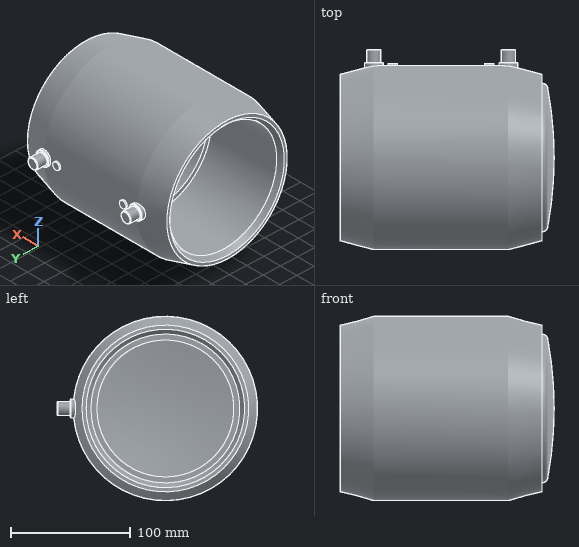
import cadquery as cq

OVERALL_LENGTH = 179.83
SLEEVE_LENGTH = 169.5
SLEEVE_RADIUS = 155.0 / 2
SLEEVE_END_RADIUS = 140.0 / 2
TAPER_LENGTH = SLEEVE_LENGTH / 6
BORE_RADIUS = 125.0 / 2
MOUTH_RADIUS = 133.0 / 2
MOUTH_BEVEL_DEPTH = 5.0

CAP_WALL_RADIUS = 115.0 / 2
CAP_RIM_DEPTH = 84.0
CAP_DOME_RADIUS = 318.0
CAP_SHOULDER_ROUND = 5.0
CAP_THICKNESS = 10.0

TERMINAL_X = SLEEVE_LENGTH / 2 - TAPER_LENGTH
TERMINAL_TO_INDICATOR = 16.0
TERMINAL_RADIUS = 12.0 / 2
TERMINAL_TOP = 91.0
COLLAR_RADIUS = 16.0 / 2
COLLAR_TOP = 80.0
TERMINAL_CHAMFER = 0.7
INDICATOR_X = TERMINAL_X - TERMINAL_TO_INDICATOR
INDICATOR_RADIUS = 8.0 / 2
INDICATOR_TOP = 79.0
STUD_ROOT = (BORE_RADIUS + SLEEVE_RADIUS) / 2

LEFT_END = -SLEEVE_LENGTH / 2
RIGHT_END = SLEEVE_LENGTH / 2


def revolve_about_x(profile):
    """Close a half profile and turn it about the part axis."""
    return profile.close().revolve(360, (0, 0, 0), (1, 0, 0))


def make_sleeve():
    """Barrel with tapered ends and a bevelled mouth at each end of its bore."""
    profile = (
        cq.Workplane("XY")
        .moveTo(LEFT_END, MOUTH_RADIUS)
        .lineTo(LEFT_END, SLEEVE_END_RADIUS)
        .lineTo(LEFT_END + TAPER_LENGTH, SLEEVE_RADIUS)
        .lineTo(RIGHT_END - TAPER_LENGTH, SLEEVE_RADIUS)
        .lineTo(RIGHT_END, SLEEVE_END_RADIUS)
        .lineTo(RIGHT_END, MOUTH_RADIUS)
        .lineTo(RIGHT_END - MOUTH_BEVEL_DEPTH, BORE_RADIUS)
        .lineTo(LEFT_END + MOUTH_BEVEL_DEPTH, BORE_RADIUS)
    )
    return revolve_about_x(profile)


def make_cap():
    """Domed cup that closes the bore, open toward -X, with a rounded shoulder."""
    rim_x = LEFT_END + CAP_RIM_DEPTH
    tip_x = LEFT_END + OVERALL_LENGTH

    dome_centre = tip_x - CAP_DOME_RADIUS
    inner_dome_radius = CAP_DOME_RADIUS - CAP_THICKNESS

    def dome_x(sphere_radius, radius):
        return dome_centre + (sphere_radius**2 - radius**2) ** 0.5

    round_centre_radius = BORE_RADIUS - CAP_SHOULDER_ROUND
    round_start_x = dome_x(CAP_DOME_RADIUS - CAP_SHOULDER_ROUND, round_centre_radius)
    dome_edge_radius = round_centre_radius * CAP_DOME_RADIUS / (CAP_DOME_RADIUS - CAP_SHOULDER_ROUND)
    dome_edge_x = dome_x(CAP_DOME_RADIUS, dome_edge_radius)

    profile = (
        cq.Workplane("XY")
        .moveTo(rim_x, CAP_WALL_RADIUS)
        .lineTo(rim_x, BORE_RADIUS)
        .lineTo(round_start_x, BORE_RADIUS)
        .tangentArcPoint((dome_edge_x, dome_edge_radius), relative=False)
        .tangentArcPoint((tip_x, 0), relative=False)
        .lineTo(tip_x - CAP_THICKNESS, 0)
        .threePointArc(
            (dome_x(inner_dome_radius, CAP_WALL_RADIUS / 2), CAP_WALL_RADIUS / 2),
            (dome_x(inner_dome_radius, CAP_WALL_RADIUS), CAP_WALL_RADIUS),
        )
    )
    return revolve_about_x(profile)


def make_stud(x, radius, top):
    """Round stud rooted inside the sleeve wall and pointing along +Y."""
    stud_plane = cq.Plane(origin=(x, STUD_ROOT, 0), xDir=(1, 0, 0), normal=(0, 1, 0))
    return cq.Workplane(stud_plane).circle(radius).extrude(top - STUD_ROOT)


def make_terminal(x):
    """Contact pin standing in a wider collar, both with a chamfered top edge."""
    collar = make_stud(x, COLLAR_RADIUS, COLLAR_TOP).faces(">Y").chamfer(TERMINAL_CHAMFER)
    pin = make_stud(x, TERMINAL_RADIUS, TERMINAL_TOP).faces(">Y").chamfer(TERMINAL_CHAMFER)
    return collar.union(pin)


result = make_sleeve().union(make_cap())
for side in (-1, 1):
    result = result.union(make_terminal(side * TERMINAL_X))
    result = result.union(make_stud(side * INDICATOR_X, INDICATOR_RADIUS, INDICATOR_TOP))